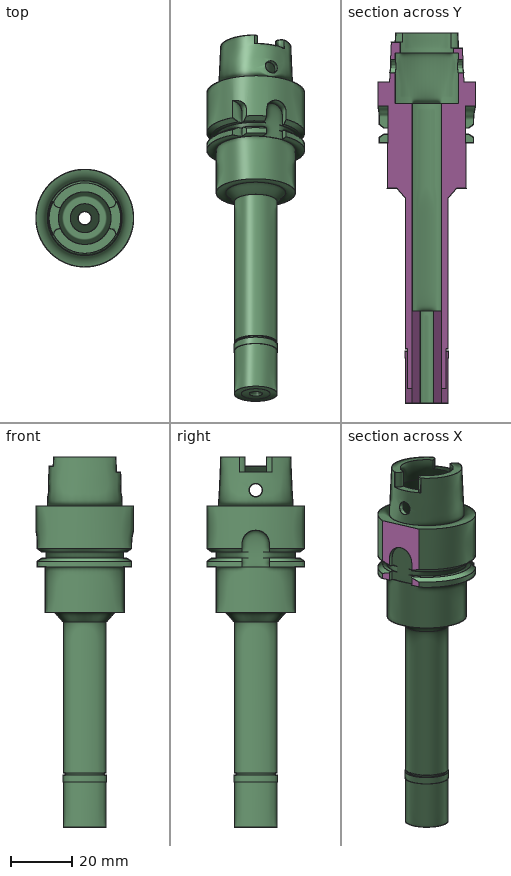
import cadquery as cq
import math

total_height = 121.0
taper_length = 16.0
shoulder_z = total_height - taper_length
flange_bottom_z = 85.1
groove_lower_edge_z = 86.9
groove_floor_bottom_z = 88.0
groove_floor_top_z = 89.9
groove_upper_edge_z = 91.1
neck_bottom_z = 70.2
stem_top_z = 67.0
gap_top_z = 17.8
nut_top_z = 17.1
nut_rim_z = 14.9
spigot_bottom_z = 4.8

flange_radius = 16.0
taper_base_radius = 12.2
taper_top_radius = 11.5
neck_radius = 13.0
groove_mouth_radius = 14.4
neck_cone_radius = 9.8
stem_radius = 7.0
nut_rim_radius = 7.1
spigot_radius = 6.4

lip_radius = 8.6
lip_bottom_z = 114.3
undercut_radius = 10.3
bore_floor_z = 98.0

collet_radius = 4.7
collet_bore_radius = 4.2 / 2
collet_length = 30.2

drive_slot_width = 6.9
drive_slot_rounding = 1.9
drive_slot_depths = {-1: 3.0, 1: 5.0}

cross_hole_radius = 4.2 / 2
cross_hole_z = 110.1

keyway_top_z = 97.0
keyway_floor_x = 12.7
narrow_keyway_width = 7.0
wide_keyway_width = 9.0
notch_center_y = 13.1
notch_floor_x = 9.4


def revolve_profile(points):
    """Revolve a closed (radius, z) outline around the Z axis."""
    return cq.Workplane("XZ").polyline(points).close().revolve(360, (0, 0, 0), (0, 1, 0))


def make_holder_blank():
    """Outer shape with the stepped bore, all turned about the Z axis."""
    return revolve_profile([
        (collet_radius, spigot_bottom_z),
        (spigot_radius, spigot_bottom_z),
        (spigot_radius, gap_top_z),
        (stem_radius, gap_top_z),
        (stem_radius, stem_top_z),
        (neck_cone_radius, neck_bottom_z),
        (neck_radius, neck_bottom_z),
        (neck_radius, flange_bottom_z),
        (flange_radius, flange_bottom_z),
        (flange_radius, groove_lower_edge_z),
        (groove_mouth_radius, groove_floor_bottom_z),
        (neck_radius, groove_floor_bottom_z),
        (neck_radius, groove_floor_top_z),
        (groove_mouth_radius, groove_floor_top_z),
        (flange_radius, groove_upper_edge_z),
        (flange_radius, shoulder_z),
        (taper_base_radius, shoulder_z),
        (taper_top_radius, total_height),
        (lip_radius, total_height),
        (lip_radius, lip_bottom_z),
        (undercut_radius, lip_bottom_z),
        (undercut_radius, bore_floor_z),
        (collet_radius, bore_floor_z),
    ])


def make_drive_slot(side):
    """Slot cutter that flares outward, which rounds the outer corners of the taper wall."""
    half_width = drive_slot_width / 2
    flared_half_width = half_width + drive_slot_rounding
    flare_end_x = math.sqrt(taper_top_radius**2 - flared_half_width**2)
    flare_start_x = flare_end_x - drive_slot_rounding
    arc_offset = drive_slot_rounding * (1 - math.sqrt(0.5))
    arc_mid_x = flare_end_x - arc_offset
    arc_mid_y = half_width + arc_offset
    depth = drive_slot_depths[side]
    return (
        cq.Workplane("XY", origin=(0, 0, total_height - depth))
        .moveTo(0, -half_width)
        .lineTo(side * flare_start_x, -half_width)
        .threePointArc((side * arc_mid_x, -arc_mid_y), (side * flare_end_x, -flared_half_width))
        .lineTo(side * flange_radius, -flared_half_width)
        .lineTo(side * flange_radius, flared_half_width)
        .lineTo(side * flare_end_x, flared_half_width)
        .threePointArc((side * arc_mid_x, arc_mid_y), (side * flare_start_x, half_width))
        .lineTo(0, half_width)
        .close()
        .extrude(depth)
    )


def make_keyway(side, width, floor_x, center_y=0.0):
    """Cutter with a round top and a flat floor, reaching outward along X from its floor."""
    radius = width / 2
    arc_center_z = keyway_top_z - radius
    return (
        cq.Workplane("YZ", origin=(side * floor_x, 0, 0))
        .moveTo(center_y - radius, flange_bottom_z)
        .lineTo(center_y - radius, arc_center_z)
        .threePointArc((center_y, keyway_top_z), (center_y + radius, arc_center_z))
        .lineTo(center_y + radius, flange_bottom_z)
        .close()
        .extrude(side * flange_radius)
    )


def make_holder():
    holder = make_holder_blank()
    for side in drive_slot_depths:
        holder = holder.cut(make_drive_slot(side))

    cross_hole = (
        cq.Workplane("YZ", origin=(-flange_radius, 0, cross_hole_z))
        .circle(cross_hole_radius)
        .extrude(2 * flange_radius)
    )
    holder = holder.cut(cross_hole)

    holder = holder.cut(make_keyway(-1, narrow_keyway_width, keyway_floor_x))
    holder = holder.cut(make_keyway(1, wide_keyway_width, keyway_floor_x))
    return holder.cut(make_keyway(-1, narrow_keyway_width, notch_floor_x, notch_center_y))


def make_nut():
    """Cap around the spigot, with a slightly wider rim and a hole for the collet."""
    return revolve_profile([
        (collet_radius, 0),
        (stem_radius, 0),
        (stem_radius, nut_rim_z),
        (nut_rim_radius, nut_rim_z),
        (nut_rim_radius, nut_top_z),
        (spigot_radius, nut_top_z),
        (spigot_radius, spigot_bottom_z),
        (collet_radius, spigot_bottom_z),
    ])


def make_collet():
    """Plain tube that sits in the nut and the holder, flush with the nut's bottom face."""
    return cq.Workplane("XY").circle(collet_radius).circle(collet_bore_radius).extrude(collet_length)


holder = make_holder()
nut = make_nut()
collet = make_collet()

result = cq.Compound.makeCompound([holder.val(), nut.val(), collet.val()])